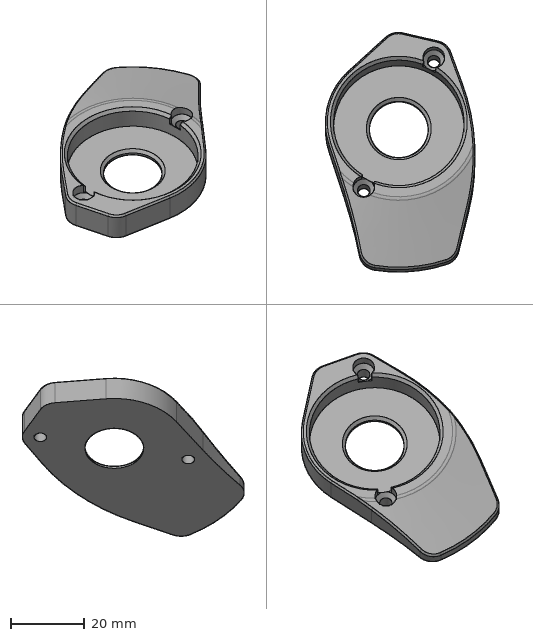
import cadquery as cq
import math

height = 8.0
nose_radius = 20.0
upper_angle = 31.0
lower_angle = 33.0
left_x = -23.95
bottom_y = -25.0
tip_radius = 40.3
flare_radius = 150.0
flare_start = 13.7
left_straight_end_y = 17.8
corner_radius = 5.0
edge_chamfer = 0.5

slope_angle = 15.0
slope_start_radius = 21.7
slope_limit_y = -3.25
slope_blend = 0.49

pocket_floor_radius = 17.8
pocket_rim_radius = 18.65
rim_chamfer = pocket_rim_radius - pocket_floor_radius
floor_z = 1.55
bore_radius = 16.0 / 2
bore_chamfer = 0.85

screw_x = 5.0
screw_y = 20.0
screw_radius = 3.4 / 2
screw_head_radius = 2.95
screw_seat_z = 5.3
screw_mouth_width = 3.8
screw_cone_depth = screw_head_radius - screw_radius


def polar(radius, degrees):
    angle = math.radians(degrees)
    return radius * math.cos(angle), radius * math.sin(angle)


def tangent_point_at_y(degrees, y):
    """Point at height y on the line touching the nose circle at the given direction."""
    angle = math.radians(degrees)
    return (nose_radius - y * math.sin(angle)) / math.cos(angle), y


def make_blank():
    upper_tangent = polar(nose_radius, upper_angle)
    lower_tangent = polar(nose_radius, -lower_angle)
    bottom_right = tangent_point_at_y(-lower_angle, bottom_y)
    bottom_left = (-bottom_right[0], bottom_y)

    flare_offset = nose_radius + flare_radius
    flare_distance = math.hypot(flare_offset, flare_start)
    along_side = polar(flare_start, upper_angle + 90)
    flare_start_point = (upper_tangent[0] + along_side[0], upper_tangent[1] + along_side[1])
    flare_center_angle = upper_angle + math.degrees(math.atan2(flare_start, flare_offset))
    crossing_cosine = (
        (flare_distance**2 + tip_radius**2 - flare_radius**2) / (2 * flare_distance * tip_radius)
    )
    tip_right_angle = flare_center_angle + math.degrees(math.acos(crossing_cosine))
    tip_right = polar(tip_radius, tip_right_angle)
    tip_left_angle = math.degrees(math.acos(left_x / tip_radius))
    tip_left = polar(tip_radius, tip_left_angle)
    tip_middle = polar(tip_radius, (tip_right_angle + tip_left_angle) / 2)

    turn = math.radians(lower_angle)
    crossing_y = (nose_radius + left_x * math.cos(turn)) / -math.sin(turn)
    tangent_length = left_straight_end_y - crossing_y
    left_arc_end = (
        left_x + tangent_length * math.sin(turn),
        crossing_y - tangent_length * math.cos(turn),
    )

    blank = (
        cq.Workplane("XY")
        .moveTo(*bottom_right)
        .lineTo(*lower_tangent)
        .threePointArc((nose_radius, 0), upper_tangent)
        .lineTo(*flare_start_point)
        .tangentArcPoint(tip_right, relative=False)
        .threePointArc(tip_middle, tip_left)
        .lineTo(left_x, left_straight_end_y)
        .tangentArcPoint(left_arc_end, relative=False)
        .lineTo(*bottom_left)
        .close()
        .extrude(height)
    )
    for corner in (bottom_right, bottom_left, tip_right, tip_left):
        at_corner = cq.selectors.NearestToPointSelector((*corner, height / 2))
        blank = blank.edges("|Z").edges(at_corner).fillet(corner_radius)
    return blank


def revolve_on_wing(profile):
    """Revolve an XZ profile about the pocket axis and keep only the part on the wing side."""
    reach = 2 * tip_radius
    wing_side = (
        cq.Workplane("XY")
        .box(2 * reach, reach, 2 * height, centered=(True, False, False))
        .translate((0, slope_limit_y, 0))
    )
    return profile.revolve(360, (0, 0), (0, 1)).intersect(wing_side)


def make_slope_cutter():
    """Material above the cone that falls away from the pocket."""
    outer_radius = tip_radius + corner_radius
    drop = (outer_radius - slope_start_radius) * math.tan(math.radians(slope_angle))
    return revolve_on_wing(
        cq.Workplane("XZ")
        .moveTo(slope_start_radius, height)
        .lineTo(outer_radius, height - drop)
        .lineTo(outer_radius, height)
        .close()
    )


def make_blend_cutter():
    """Sliver that rounds the crest between the flat top and the cone."""
    half_slope = math.radians(slope_angle / 2)
    blend_radius = slope_blend / math.tan(half_slope)
    center_x = slope_start_radius - slope_blend
    center_z = height - blend_radius
    mid_x, mid_z = polar(blend_radius, 90 - slope_angle / 2)
    end_x, end_z = polar(blend_radius, 90 - slope_angle)
    return revolve_on_wing(
        cq.Workplane("XZ")
        .moveTo(slope_start_radius, height)
        .lineTo(center_x, height)
        .threePointArc((center_x + mid_x, center_z + mid_z), (center_x + end_x, center_z + end_z))
        .close()
    )


def chamfer_upper_outline(body):
    """Chamfer the edges where the side walls meet the top and the slope."""
    tolerance = 0.0005
    chamfered = []
    for wall in body.faces("not |Z").vals():
        if wall.BoundingBox().zmin > tolerance:
            continue
        for edge in wall.Edges():
            if edge.BoundingBox().zmin > tolerance:
                chamfered.append(edge)
    return body.newObject(chamfered).chamfer(edge_chamfer)


def make_pocket_cutter():
    pocket = (
        cq.Workplane("XY")
        .workplane(offset=floor_z)
        .circle(pocket_floor_radius)
        .extrude(height - floor_z)
    )
    pocket_rim = cq.Solid.makeCone(
        pocket_floor_radius, pocket_rim_radius, rim_chamfer, cq.Vector(0, 0, height - rim_chamfer)
    )
    bore = cq.Workplane("XY").circle(bore_radius).extrude(height)
    bore_rim = cq.Solid.makeCone(
        bore_radius, bore_radius + bore_chamfer, bore_chamfer, cq.Vector(0, 0, floor_z - bore_chamfer)
    )
    return pocket.union(pocket_rim).union(bore).union(bore_rim)


def make_screw_cutter(x, y):
    """Shank, conical seat and head bore, with a slot running from the head toward the pocket axis."""
    shank = cq.Workplane("XY").center(x, y).circle(screw_radius).extrude(height)
    cone = cq.Solid.makeCone(
        screw_radius, screw_head_radius, screw_cone_depth, cq.Vector(x, y, screw_seat_z - screw_cone_depth)
    )
    head = (
        cq.Workplane("XY")
        .workplane(offset=screw_seat_z)
        .center(x, y)
        .circle(screw_head_radius)
        .extrude(height - screw_seat_z)
    )
    mouth_length = math.hypot(x, y) - bore_radius - bore_chamfer
    mouth = (
        cq.Workplane("XY")
        .box(mouth_length, screw_mouth_width, height - screw_seat_z, centered=(False, True, False))
        .rotate((0, 0, 0), (0, 0, 1), math.degrees(math.atan2(-y, -x)))
        .translate((x, y, screw_seat_z))
    )
    return shank.union(cone).union(head).union(mouth)


body = make_blank().cut(make_slope_cutter())
body = chamfer_upper_outline(body)
body = body.cut(make_blend_cutter())
body = body.cut(make_pocket_cutter())
for side in (1, -1):
    body = body.cut(make_screw_cutter(side * screw_x, side * screw_y))

result = body